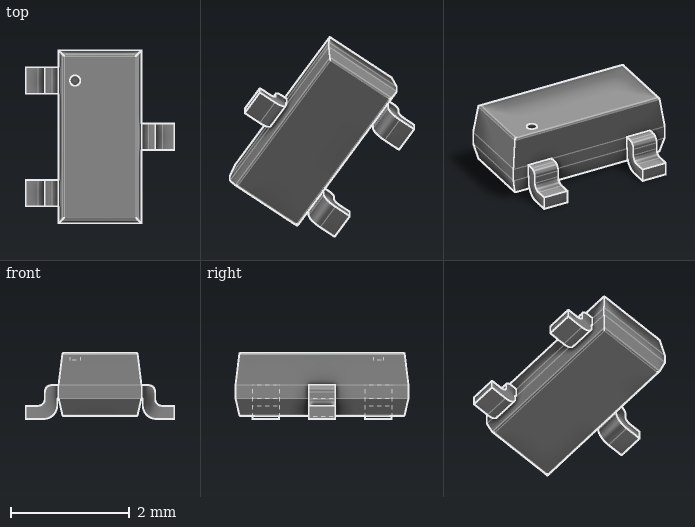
import cadquery as cq
import math

OVERALL_WIDTH = 2.51
TOTAL_HEIGHT = 1.12

BODY_WIDTH = 1.402
BODY_LENGTH = 2.92
STANDOFF = 0.05
BAND_TOP = 0.575
TOP_DRAFT = 7.0
BOTTOM_DRAFT = 13.0
EDGE_RADIUS = 0.035

MARK_DIAMETER = 0.175
MARK_X = -0.42
MARK_DEPTH = 0.117

LEAD_THICKNESS = 0.225
LEAD_WIDTH = 0.45
LEAD_PITCH = 1.898
SHANK_OUTSET = 0.23
SHANK_GAP = 0.018
BEND_RADIUS = 0.117
HEEL_RADIUS = 0.235

BAND_BOTTOM = BAND_TOP - LEAD_THICKNESS
ARC_MIDPOINT = math.sqrt(0.5)


def tapered_half(start_z, height, draft):
    """Housing half that narrows away from the band; a negative height goes down."""
    inset = abs(height) * math.tan(math.radians(draft))
    return (
        cq.Workplane("XY", origin=(0, 0, start_z))
        .rect(BODY_WIDTH, BODY_LENGTH)
        .workplane(offset=height)
        .rect(BODY_WIDTH - 2 * inset, BODY_LENGTH - 2 * inset)
        .loft(ruled=True)
    )


def make_housing():
    band = cq.Workplane("XY", origin=(0, 0, BAND_BOTTOM)).box(
        BODY_WIDTH, BODY_LENGTH, LEAD_THICKNESS, centered=(True, True, False)
    )
    upper = tapered_half(BAND_TOP, TOTAL_HEIGHT - BAND_TOP, TOP_DRAFT)
    lower = tapered_half(BAND_BOTTOM, STANDOFF - BAND_BOTTOM, BOTTOM_DRAFT)
    upper = upper.faces(">Z").edges().fillet(EDGE_RADIUS)
    lower = lower.faces("<Z").edges().fillet(EDGE_RADIUS)
    mark = (
        cq.Workplane("XY", origin=(MARK_X, LEAD_PITCH / 2, TOTAL_HEIGHT - MARK_DEPTH))
        .circle(MARK_DIAMETER / 2)
        .extrude(MARK_DEPTH)
    )
    return band.union(upper).union(lower).cut(mark)


def make_lead(side, y):
    """Gull-wing lead centred on y; side is -1 for the -X side and 1 for +X."""
    root = BODY_WIDTH / 2
    tip = OVERALL_WIDTH / 2
    shank_outer = root + SHANK_OUTSET
    shank_inner = root + SHANK_GAP

    def point(x, z):
        return (side * x, z)

    def bend(center_x, center_z, radius, toward_x, toward_z):
        """Middle point of a quarter bend about the given centre."""
        reach = radius * ARC_MIDPOINT
        return point(center_x + toward_x * reach, center_z + toward_z * reach)

    shoulder_x = shank_outer - BEND_RADIUS
    shoulder_z = BAND_TOP - BEND_RADIUS
    foot_x = shank_outer + BEND_RADIUS
    foot_z = LEAD_THICKNESS + BEND_RADIUS
    throat_z = BAND_BOTTOM - SHANK_GAP
    heel_x = shank_inner + HEEL_RADIUS

    profile = (
        cq.Workplane("XZ", origin=(0, y, 0))
        .moveTo(*point(root, BAND_TOP))
        .lineTo(*point(shoulder_x, BAND_TOP))
        .threePointArc(
            bend(shoulder_x, shoulder_z, BEND_RADIUS, 1, 1),
            point(shank_outer, shoulder_z),
        )
        .lineTo(*point(shank_outer, foot_z))
        .threePointArc(
            bend(foot_x, foot_z, BEND_RADIUS, -1, -1),
            point(foot_x, LEAD_THICKNESS),
        )
        .lineTo(*point(tip, LEAD_THICKNESS))
        .lineTo(*point(tip, 0))
        .lineTo(*point(heel_x, 0))
        .threePointArc(
            bend(heel_x, HEEL_RADIUS, HEEL_RADIUS, -1, -1),
            point(shank_inner, HEEL_RADIUS),
        )
        .lineTo(*point(shank_inner, throat_z))
        .threePointArc(
            bend(root, throat_z, SHANK_GAP, 1, 1),
            point(root, BAND_BOTTOM),
        )
        .close()
    )
    return profile.extrude(LEAD_WIDTH / 2, both=True)


LEAD_PLACES = [(-1, LEAD_PITCH / 2), (-1, -LEAD_PITCH / 2), (1, 0)]

housing = make_housing()
leads = [make_lead(side, y) for side, y in LEAD_PLACES]

result = cq.Compound.makeCompound([housing.val(), *[lead.val() for lead in leads]])